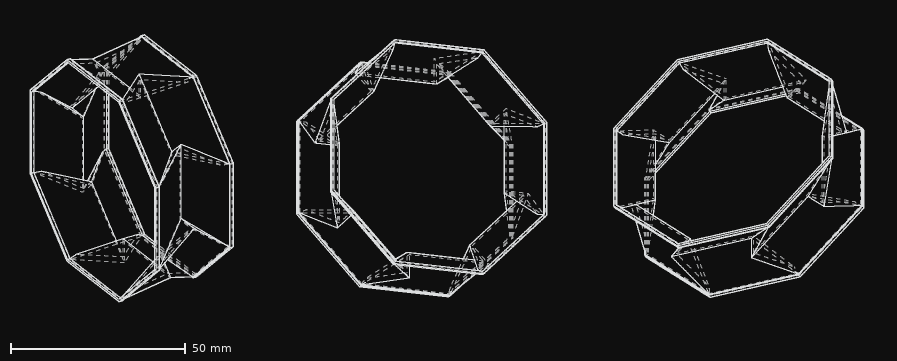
import cadquery as cq
import math

SIDES = 8
ACROSS_FLATS = 66.8
WIDTH = 26.4
RIM_WALL = 0.75
RIM_WIDTH = 1.15
RIM_STEP = 0.3

FOLD_SLOPE = 30
SHEET = 0.55

rim_apothem = ACROSS_FLATS / 2
inner_apothem = rim_apothem - RIM_WALL
wall_apothem = rim_apothem - RIM_STEP
half_length = WIDTH / 2 - RIM_WIDTH
slope = math.tan(math.radians(FOLD_SLOPE))
groove_depth = half_length * slope
valley_apothem = wall_apothem - groove_depth

half_turn = math.pi / SIDES
corner_x = wall_apothem * math.tan(half_turn)
end_run = groove_depth / math.sin(2 * half_turn)
end_x = corner_x - end_run


def octagon_prism(apothem, length):
    """Octagonal prism along Y, centred on the origin."""
    across_corners = 2 * apothem / math.cos(half_turn)
    return (
        cq.Workplane("XZ")
        .transformed(rotate=(0, 0, math.degrees(half_turn)))
        .polygon(SIDES, across_corners)
        .extrude(length / 2, both=True)
    )


def groove(offset):
    """Groove of the top flat, with its faces moved into the ring by the given offset."""
    apex_z = valley_apothem - offset / math.cos(math.radians(FOLD_SLOPE))
    top_z = rim_apothem
    half_opening = (top_z - apex_z) / slope
    v_section = [(0, apex_z), (half_opening, top_z), (-half_opening, top_z)]
    v_bar = cq.Workplane("YZ").polyline(v_section).close().extrude(rim_apothem, both=True)

    end_spread = end_run / half_length
    tip_x = end_x + offset * math.hypot(1, end_spread)
    side_x = tip_x + half_opening * end_spread
    chevron = [
        (-rim_apothem, half_opening),
        (side_x, half_opening),
        (tip_x, 0),
        (side_x, -half_opening),
        (-rim_apothem, -half_opening),
    ]
    return v_bar.intersect(cq.Workplane("XY").polyline(chevron).close().extrude(rim_apothem))


def cut_grooves(body, offset):
    """Cut one groove into every flat."""
    cutter = groove(offset)
    for side in range(SIDES):
        body = body.cut(cutter.rotate((0, 0, 0), (0, 1, 0), side * 360 / SIDES))
    return body


body = cut_grooves(octagon_prism(wall_apothem, WIDTH), 0)

for direction in (-1, 1):
    rim_centre = direction * (WIDTH - RIM_WIDTH) / 2
    body = body.union(octagon_prism(rim_apothem, RIM_WIDTH).translate((0, rim_centre, 0)))

result = body.cut(cut_grooves(octagon_prism(inner_apothem, WIDTH), SHEET))